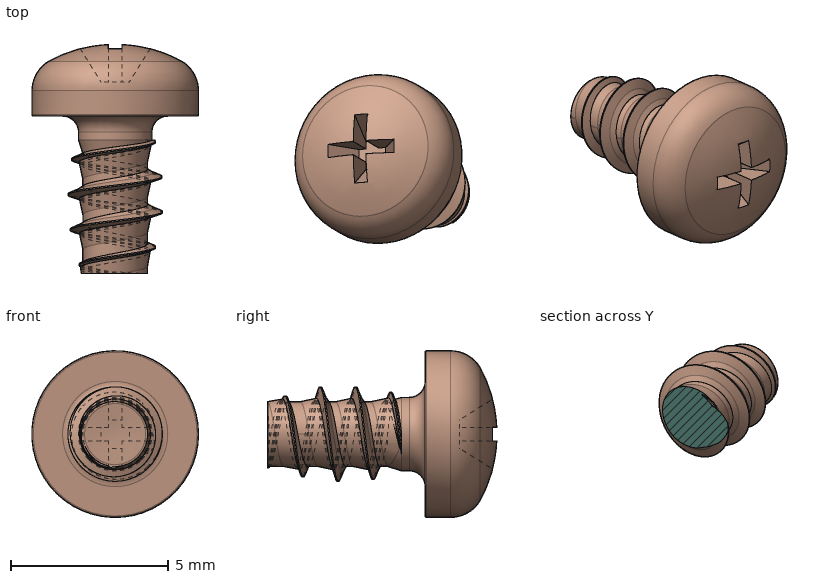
import cadquery as cq
import math


head_radius = 2.65
head_apex = 2.29
rim_height = 0.81
rim_rounding = 0.05
shoulder_radius = 1.10
dome_join_radius = 2.12
dome_join_height = 1.745

wing_width = 0.43
wing_span_top = 2.40
wing_span_bottom = 0.90
recess_depth = 1.20

shank_length = 5.0
neck_radius = 1.17
neck_end = 0.75
neck_fillet = 0.50
core_radius = 1.03
cone_end = 1.20
tip_rim_radius = 0.97
tip_hollow_depth = 0.06

pitch = 1.12
thread_start = 0.525
thread_turns = 4.25
crest_radius = 1.50
crest_start_radius = 1.225
crest_end_radius = 1.0
growth_end_turns = 1.30
fade_start_turns = 2.50
samples_per_turn = 24

crest_half_width = 0.02
tooth_section = [
    (-0.60, -0.33),
    (-0.30, -0.14),
    (0.0, -crest_half_width),
    (0.0, crest_half_width),
    (-0.60, 0.20),
]

root_section = [
    (1.15, 0.08),
    (0.97, 0.92),
    (0.85, 0.40),
]
root_fade = 0.06


def revolve_profile(profile):
    return profile.close().revolve(360, (0, 0, 0), (0, 1, 0))


def make_head():
    middle_radius = dome_join_radius / 2
    half_chord = dome_join_radius
    dome_sag = head_apex - dome_join_height
    dome_radius = (half_chord**2 + dome_sag**2) / (2 * dome_sag)
    middle_height = head_apex - dome_radius + math.sqrt(dome_radius**2 - middle_radius**2)
    return revolve_profile(
        cq.Workplane("XY")
        .lineTo(head_radius - rim_rounding, 0)
        .radiusArc((head_radius, rim_rounding), -rim_rounding)
        .lineTo(head_radius, rim_height)
        .radiusArc((dome_join_radius, dome_join_height), -shoulder_radius)
        .threePointArc((middle_radius, middle_height), (0, head_apex))
    )


def make_shank():
    return revolve_profile(
        cq.Workplane("XY")
        .lineTo(neck_radius + neck_fillet, 0)
        .radiusArc((neck_radius, -neck_fillet), -neck_fillet)
        .lineTo(neck_radius, -neck_end)
        .lineTo(core_radius, -cone_end)
        .lineTo(core_radius, -shank_length)
        .lineTo(0, -shank_length)
    )


def fade_share(turns):
    """Zero along the full thread, rising to one where the thread ends at the tip."""
    return max(0, (turns - fade_start_turns) / (thread_turns - fade_start_turns))


def crest_radius_at(turns):
    if turns < growth_end_turns:
        share = turns / growth_end_turns
        return crest_start_radius + share * (crest_radius - crest_start_radius)
    return crest_radius - fade_share(turns) * (crest_radius - crest_end_radius)


def helix_point(radius, axial_offset, turns):
    angle = 2 * math.pi * turns
    depth = thread_start + pitch * turns + axial_offset
    return cq.Vector(radius * math.sin(angle), -depth, -radius * math.cos(angle))


def helical_band(section_at):
    """Solid swept along the helix; section_at(turns) gives its (radius, axial offset) corners."""
    sample_count = round(thread_turns * samples_per_turn)
    stations = [thread_turns * i / sample_count for i in range(sample_count + 1)]
    rings = [[helix_point(r, a, t) for r, a in section_at(t)] for t in stations]
    edges = [cq.Edge.makeSpline(list(corner), parameters=stations) for corner in zip(*rings)]
    faces = [cq.Face.makeRuledSurface(edges[i - 1], edges[i]) for i in range(len(edges))]
    for ring in (rings[0], rings[-1]):
        faces.append(cq.Face.makeFromWires(cq.Wire.makePolygon(ring, close=True)))
    solid = cq.Solid.makeSolid(cq.Shell.makeShell(faces))
    return cq.Workplane(solid.fix())


def tooth_at(turns):
    return [(crest_radius_at(turns) + r, a) for r, a in tooth_section]


def root_at(turns):
    (ridge_radius, ridge_offset), *buried_corners = root_section
    return [(ridge_radius - fade_share(turns) * root_fade, ridge_offset), *buried_corners]


def make_threaded_zone():
    """Cylinder between the end of the neck and the tip, which bounds the thread."""
    return (
        cq.Workplane("XZ", origin=(0, -neck_end, 0))
        .circle(head_radius)
        .extrude(shank_length - neck_end)
    )


def make_recess():
    def wing(along_x):
        def section(span):
            return (span, wing_width) if along_x else (wing_width, span)

        return (
            cq.Workplane("XZ", origin=(0, head_apex, 0))
            .rect(*section(wing_span_top))
            .workplane(offset=recess_depth)
            .rect(*section(wing_span_bottom))
            .loft()
        )

    return wing(True).union(wing(False))


def make_tip_hollow():
    return revolve_profile(
        cq.Workplane("XY")
        .moveTo(0, -shank_length)
        .lineTo(tip_rim_radius, -shank_length)
        .lineTo(0, -shank_length + tip_hollow_depth)
    )


zone = make_threaded_zone()
tooth = helical_band(tooth_at).intersect(zone)
root = helical_band(root_at).intersect(zone)
result = make_head().union(make_shank()).union(root).union(tooth)
result = result.cut(make_recess()).cut(make_tip_hollow())